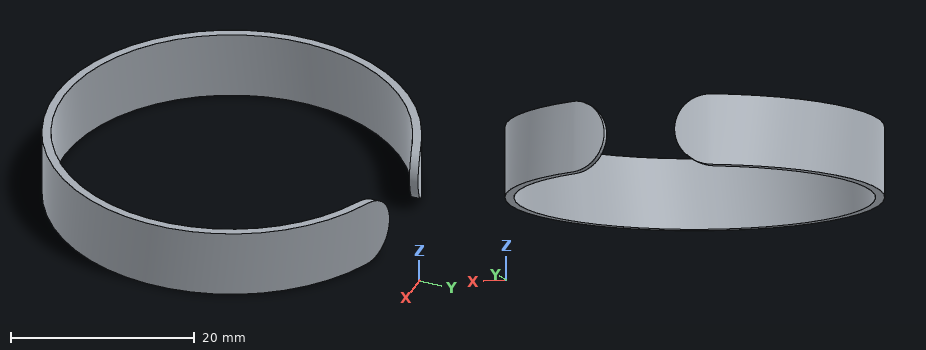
import cadquery as cq

outer_diameter = 41.3
wall = 1.0
height = 7.8
gap = 8.0

outer_radius = outer_diameter / 2
inner_radius = outer_radius - wall
tip_radius = height / 2
tip_center_x = gap / 2 + tip_radius


def ring_band():
    """Closed band of constant wall, centred on the origin."""
    return (
        cq.Workplane("XY")
        .circle(outer_radius)
        .circle(inner_radius)
        .extrude(height / 2, both=True)
    )


def gap_cutter():
    """Prism along +Y whose concave sides leave a full round on each tip."""
    opening = (
        cq.Workplane("XZ")
        .moveTo(-tip_center_x, -tip_radius)
        .lineTo(tip_center_x, -tip_radius)
        .threePointArc((gap / 2, 0), (tip_center_x, tip_radius))
        .lineTo(-tip_center_x, tip_radius)
        .threePointArc((-gap / 2, 0), (-tip_center_x, -tip_radius))
        .close()
    )
    return opening.extrude(-outer_diameter)


result = ring_band().cut(gap_cutter())